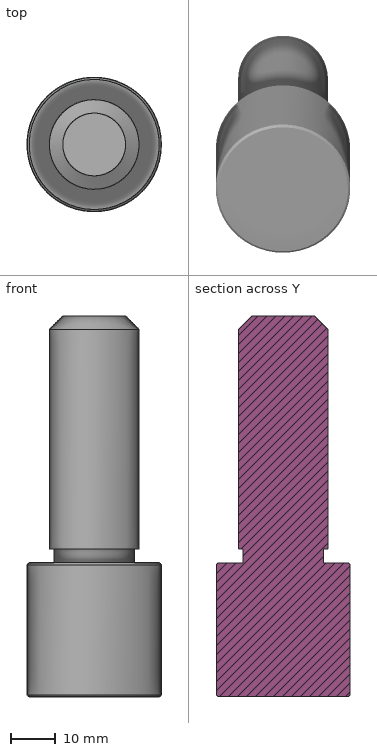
import cadquery as cq

head_diameter = 30.0
head_height = 30.0
head_chamfer = 0.5

neck_diameter = 18.0
neck_height = 3.0

shank_diameter = 20.0
tip_chamfer = 3.0
total_height = 85.0
shank_height = total_height - head_height - neck_height


def cylinder(diameter, height, base_z):
    """Upright cylinder on the Z axis, starting at base_z."""
    return cq.Workplane("XY").workplane(offset=base_z).circle(diameter / 2).extrude(height)


def make_head():
    """Head with both rims chamfered."""
    return cylinder(head_diameter, head_height, 0).faces("<Z or >Z").edges().chamfer(head_chamfer)


def make_neck():
    return cylinder(neck_diameter, neck_height, head_height)


def make_shank():
    """Shank with a chamfered free end."""
    shank = cylinder(shank_diameter, shank_height, head_height + neck_height)
    return shank.faces(">Z").edges().chamfer(tip_chamfer)


result = make_head().union(make_neck()).union(make_shank())